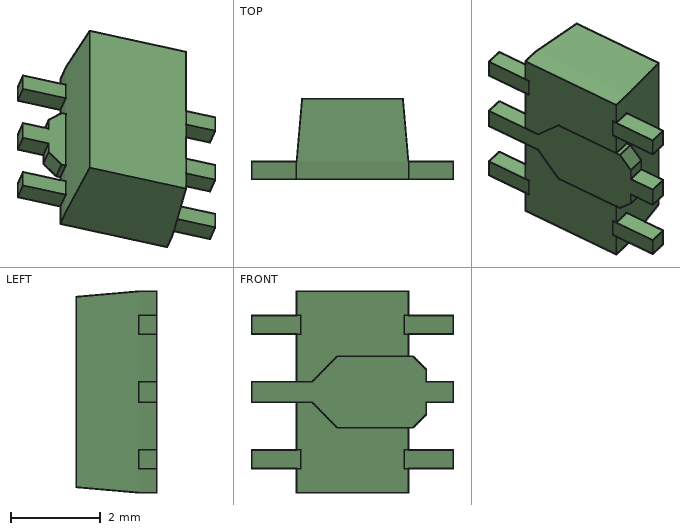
import cadquery as cq
import math

housing_width = 2.5
housing_height = 4.5
draft_angle = 5.0

span = 4.5
depth = 1.8
lead_thickness = 0.4

lead_width = 0.42
lead_embed = 0.1
lead_pitch = 1.5

tab_lead_width = 0.46
pad_height = 1.6
flare_start = -0.9
flare_end = -0.34
pad_end = 1.65
pad_chamfer = 0.3

mounting_face = -depth / 2
draft_start = mounting_face + lead_thickness
draft_depth = depth - lead_thickness

lead_length = (span - housing_width) / 2 + lead_embed
lead_center = (span - lead_length) / 2


def make_corner_lead(side, level):
    """Straight bar whose inner end sits in the housing; side and level are +1 or -1."""
    bar = cq.Workplane("XY").box(lead_length, lead_thickness, lead_width)
    return bar.translate((side * lead_center, mounting_face + lead_thickness / 2, level * lead_pitch))


def make_tab():
    """Flat plate, symmetric about Z = 0: lead, flare, pad with cut corners, lead."""
    half_lead = tab_lead_width / 2
    half_pad = pad_height / 2
    upper_edge = [
        (-span / 2, half_lead),
        (flare_start, half_lead),
        (flare_end, half_pad),
        (pad_end - pad_chamfer, half_pad),
        (pad_end, half_pad - pad_chamfer),
        (pad_end, half_lead),
        (span / 2, half_lead),
    ]
    lower_edge = [(x, -z) for x, z in reversed(upper_edge)]
    plane = cq.Workplane("XZ", origin=(0, mounting_face, 0))
    return plane.polyline(upper_edge + lower_edge).close().extrude(-lead_thickness)


def make_housing(inserts):
    """Straight base with a drafted block behind it, pocketed for the metal inserts."""
    base = (
        cq.Workplane("XZ", origin=(0, mounting_face, 0))
        .rect(housing_width, housing_height)
        .extrude(-lead_thickness)
    )
    inset = draft_depth * math.tan(math.radians(draft_angle))
    block = (
        cq.Workplane("XZ", origin=(0, draft_start, 0))
        .rect(housing_width, housing_height)
        .workplane(offset=-draft_depth)
        .rect(housing_width - 2 * inset, housing_height - 2 * inset)
        .loft(ruled=True)
    )
    housing = base.union(block)
    for insert in inserts:
        housing = housing.cut(insert)
    return housing


corner_leads = [make_corner_lead(side, level) for side in (-1, 1) for level in (-1, 1)]
tab = make_tab()
housing = make_housing(corner_leads + [tab])

result = cq.Compound.makeCompound(
    [housing.solids().val(), tab.val(), *[lead.val() for lead in corner_leads]]
)